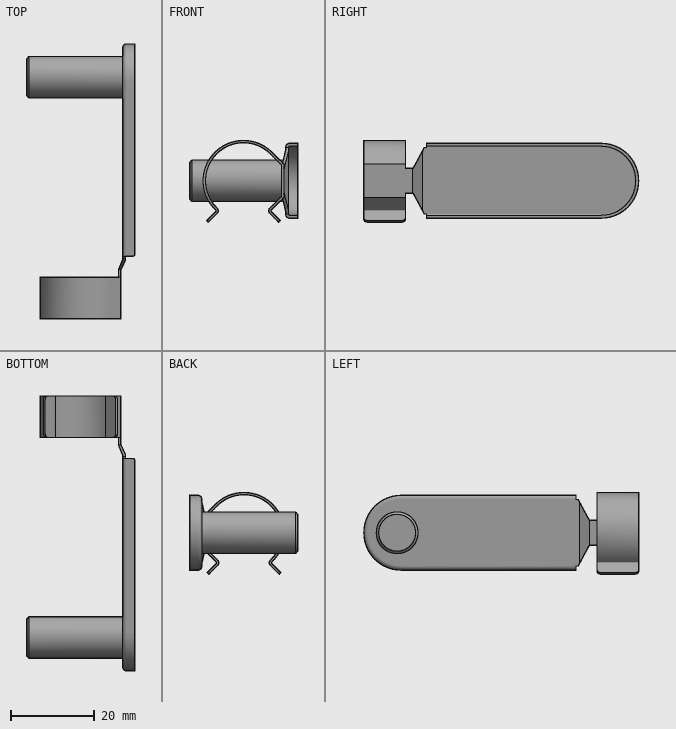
import cadquery as cq
import math

arm_sheet = 0.7
clip_sheet = 0.6
bend_radius = 1.0
inner_bend_radius = bend_radius - arm_sheet
corner_radius = 0.5
overall_length = 66.0

plate_width = 18.0
end_radius = plate_width / 2
rim_depth = 3.0
rim_end_y = -42.0

taper_start_y = -42.45
fold_start_y = -42.8
fold_end_y = -45.15
neck_width = 6.0
neck_step = 1.0

pin_diameter = 10.0
pin_length = 23.05
pin_y = 1.0
pin_edge = 0.6

clip_width = 10.0
clip_end_y = end_radius - overall_length
clip_start_y = clip_end_y + clip_width
clip_outer_radius = 9.7
clip_inner_radius = clip_outer_radius - clip_sheet
clip_center_x = clip_sheet - neck_step - clip_outer_radius
throat_z = -7.2
throat_bend_radius = 0.8
throat_inner_radius = throat_bend_radius - clip_sheet
lip_bottom_z = -9.95
lip_corner_radius = 1.0


def arm_blank(half_width, end_y, start_x, depth):
    """Prism with one round end and one square end, extruded along +X."""
    return (
        cq.Workplane("YZ", origin=(start_x, 0, 0))
        .moveTo(end_y, -half_width)
        .lineTo(0, -half_width)
        .threePointArc((half_width, 0), (0, half_width))
        .lineTo(end_y, half_width)
        .close()
        .extrude(depth)
    )


def make_tray():
    inner_half_width = end_radius - arm_sheet
    outer = arm_blank(end_radius, rim_end_y, 0, rim_depth)
    outer = outer.faces("<X").edges("not <Y").fillet(bend_radius)
    hollow = arm_blank(inner_half_width, rim_end_y - arm_sheet, arm_sheet, rim_depth)
    hollow = hollow.faces("<X").edges("not <Y").fillet(inner_bend_radius)
    tray = outer.cut(hollow)
    rim_corners = cq.selectors.BoxSelector(
        (rim_depth - arm_sheet / 2, rim_end_y - arm_sheet, -plate_width),
        (rim_depth + arm_sheet / 2, rim_end_y + arm_sheet, plate_width),
    )
    return tray.edges("|Z").edges(rim_corners).fillet(corner_radius)


def make_neck():
    """Stepped strip, thinning from the arm to the clip sheet, trimmed to the tapered outline."""
    half_fold = math.atan2(neck_step, fold_start_y - fold_end_y) / 2
    start_shift = arm_sheet * math.tan(half_fold)
    end_shift = clip_sheet * math.tan(half_fold)
    root_y = rim_end_y + arm_sheet
    strip = (
        cq.Workplane("XY")
        .polyline([
            (0, root_y),
            (0, fold_start_y),
            (-neck_step, fold_end_y),
            (-neck_step, clip_start_y - clip_sheet),
            (clip_sheet - neck_step, clip_start_y - clip_sheet),
            (clip_sheet - neck_step, fold_end_y - end_shift),
            (arm_sheet, fold_start_y - start_shift),
            (arm_sheet, root_y),
        ])
        .close()
        .extrude(end_radius, both=True)
    )
    half_root = end_radius - bend_radius
    half_neck = neck_width / 2
    outline = (
        cq.Workplane("YZ", origin=(-neck_step, 0, 0))
        .polyline([
            (root_y, half_root),
            (taper_start_y, half_root),
            (fold_end_y, half_neck),
            (clip_start_y - clip_sheet, half_neck),
            (clip_start_y - clip_sheet, -half_neck),
            (fold_end_y, -half_neck),
            (taper_start_y, -half_root),
            (root_y, -half_root),
        ])
        .close()
        .extrude(neck_step + arm_sheet)
    )
    return strip.intersect(outline)


def make_pin():
    pin = (
        cq.Workplane("YZ", origin=(arm_sheet, pin_y, 0))
        .circle(pin_diameter / 2)
        .extrude(-pin_length - arm_sheet)
    )
    return pin.faces("<X").edges().chamfer(pin_edge)


def make_clip():
    """Round on the far side, with a flat and two 45-degree tangents on the neck side."""
    diagonal = math.sqrt(2)
    inner_tangent = clip_inner_radius / diagonal
    outer_tangent = clip_outer_radius / diagonal
    inner_flat = clip_inner_radius * math.tan(math.pi / 8)
    outer_flat = clip_outer_radius * math.tan(math.pi / 8)
    throat_x = clip_inner_radius * diagonal + throat_z
    outer_throat_x = throat_x + clip_sheet * diagonal
    lip_x = throat_x + throat_z - lip_bottom_z
    lip_end = clip_sheet / diagonal

    profile = (
        cq.Workplane("XZ", origin=(clip_center_x, clip_start_y, 0))
        .moveTo(outer_tangent, outer_tangent)
        .threePointArc((-outer_tangent, outer_tangent), (-outer_tangent, -outer_tangent))
        .lineTo(-outer_throat_x, throat_z)
        .lineTo(-lip_x - lip_end, lip_bottom_z + lip_end)
        .lineTo(-lip_x, lip_bottom_z)
        .lineTo(-throat_x, throat_z)
        .lineTo(-inner_tangent, -inner_tangent)
        .threePointArc((-inner_tangent, inner_tangent), (inner_tangent, inner_tangent))
        .lineTo(clip_inner_radius, inner_flat)
        .lineTo(clip_inner_radius, -inner_flat)
        .lineTo(throat_x, throat_z)
        .lineTo(lip_x, lip_bottom_z)
        .lineTo(lip_x + lip_end, lip_bottom_z + lip_end)
        .lineTo(outer_throat_x, throat_z)
        .lineTo(clip_outer_radius, -outer_flat)
        .lineTo(clip_outer_radius, outer_flat)
        .close()
    )
    clip = profile.extrude(clip_width)
    middle_y = clip_start_y - clip_width / 2
    throat_bends = ((throat_x, throat_bend_radius), (outer_throat_x, throat_inner_radius))
    for side in (-1, 1):
        for distance, radius in throat_bends:
            corner = (clip_center_x + side * distance, middle_y, throat_z)
            nearest = cq.selectors.NearestToPointSelector(corner)
            clip = clip.edges("|Y").edges(nearest).fillet(radius)
        thickness_edges = cq.selectors.ParallelDirSelector(cq.Vector(side, 0, 1))
        clip = clip.edges(thickness_edges).edges("<Z").fillet(lip_corner_radius)
    return clip


result = make_tray().union(make_neck()).union(make_pin()).union(make_clip())